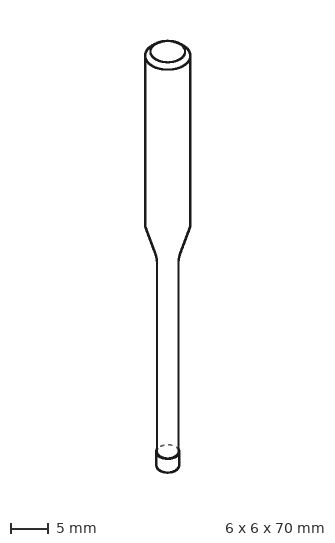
import cadquery as cq
import math

total_length = 70.0
shank_radius = 3.0
shank_chamfer = 0.7
neck_radius = 1.435
neck_top = 34.3
blend_radius = 7.0
cone_half_angle = math.radians(16)
head_radius = 1.55
head_length = 2.5
head_corner_radius = 0.35

cone_start_radius = neck_radius + blend_radius * (1 - math.cos(cone_half_angle))
cone_start = neck_top + blend_radius * math.sin(cone_half_angle)
shank_bottom = cone_start + (shank_radius - cone_start_radius) / math.tan(cone_half_angle)


def blend_point(angle):
    """Point (radius, height) on the blend arc, turned by angle from the neck."""
    return (
        neck_radius + blend_radius * (1 - math.cos(angle)),
        neck_top + blend_radius * math.sin(angle),
    )


def make_holder():
    """Chamfered shank, cone, blend and slender neck, revolved about Z."""
    return (
        cq.Workplane("XZ")
        .moveTo(0, head_length)
        .lineTo(neck_radius, head_length)
        .lineTo(neck_radius, neck_top)
        .threePointArc(blend_point(cone_half_angle / 2), (cone_start_radius, cone_start))
        .lineTo(shank_radius, shank_bottom)
        .lineTo(shank_radius, total_length)
        .lineTo(0, total_length)
        .close()
        .revolve(360, (0, 0, 0), (0, 1, 0))
        .faces(">Z")
        .chamfer(shank_chamfer)
    )


def make_cutting_head():
    """Short cylinder with a rounded lower rim, seated against the neck end."""
    return (
        cq.Workplane("XY")
        .circle(head_radius)
        .extrude(head_length)
        .faces("<Z")
        .edges()
        .fillet(head_corner_radius)
    )


holder = make_holder()
cutting_head = make_cutting_head()
result = cq.Compound.makeCompound([holder.val(), cutting_head.val()])